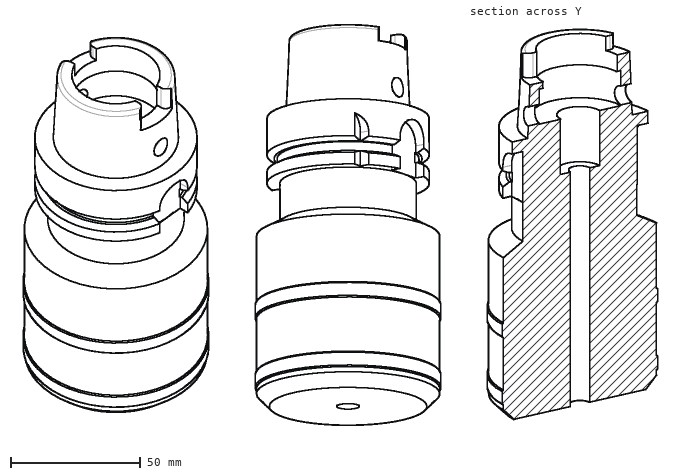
import cadquery as cq
import math

total_height = 147.0
overall_diameter = 72.0

ring_radius = overall_diameter / 2
ring_flank = 0.51
ring_height = 6.2
ring_bottoms_z = (7.0, 34.8)

body_radius = ring_radius - ring_flank
bottom_chamfer = 5.0
shoulder_bottom_z = 67.9
shoulder_top_z = 72.9
neck_radius = 26.5

flange_radius = 31.5
flange_bottom_z = 89.0
flange_top_z = 115.0
groove_radius = 27.5
groove_bottom_z = 93.6
groove_top_z = 100.3
groove_flank_height = 1.4
groove_flank_width = 2.8

taper_base_radius = 24.3
taper_top_radius = 22.8
rim_fillet = 1.5

mouth_radius = 17.0
mouth_bottom_z = 134.0
cavity_radius = 18.8
cavity_floor_z = 119.8
coolant_seat_radius = 9.0
coolant_seat_floor_z = 97.0
coolant_hole_radius = 4.4

drive_slot_width = 12.3
left_slot_floor_z = 141.1
right_slot_floor_z = 136.9
drive_slot_corner = 2.8

cross_hole_radius = 3.8
cross_hole_z = 123.9

pocket_radius = 8.0
key_arc_z = 101.9
notch_arc_z = 102.5
key_floor_x = neck_radius
notch_floor_x = 20.3
notch_side_y = 20.1


def cylinder(radius, bottom_z, top_z):
    return cq.Workplane("XY").workplane(offset=bottom_z).circle(radius).extrude(top_z - bottom_z)


def revolved_body():
    """Solid of revolution from the chuck body to the top of the gripper flange."""
    profile = cq.Workplane("XZ").lineTo(body_radius - bottom_chamfer, 0)
    profile = profile.lineTo(body_radius, bottom_chamfer)
    for ring_z in ring_bottoms_z:
        profile = (
            profile.lineTo(body_radius, ring_z)
            .lineTo(ring_radius, ring_z + ring_flank)
            .lineTo(ring_radius, ring_z + ring_height - ring_flank)
            .lineTo(body_radius, ring_z + ring_height)
        )
    flank_radius = flange_radius - groove_flank_width
    profile = (
        profile.lineTo(body_radius, shoulder_bottom_z)
        .lineTo(neck_radius, shoulder_top_z)
        .lineTo(neck_radius, flange_bottom_z)
        .lineTo(flange_radius, flange_bottom_z)
        .lineTo(flange_radius, groove_bottom_z)
        .lineTo(flank_radius, groove_bottom_z + groove_flank_height)
        .lineTo(groove_radius, groove_bottom_z + groove_flank_height)
        .lineTo(groove_radius, groove_top_z - groove_flank_height)
        .lineTo(flank_radius, groove_top_z - groove_flank_height)
        .lineTo(flange_radius, groove_top_z)
        .lineTo(flange_radius, flange_top_z)
        .lineTo(0, flange_top_z)
        .close()
    )
    return profile.revolve(360, (0, 0, 0), (0, 1, 0))


def taper_shank():
    """Taper with a rounded rim."""
    shank = (
        cq.Workplane("XZ")
        .moveTo(0, flange_top_z)
        .lineTo(taper_base_radius, flange_top_z)
        .lineTo(taper_top_radius, total_height)
        .lineTo(0, total_height)
        .close()
        .revolve(360, (0, 0, 0), (0, 1, 0))
    )
    return shank.faces(">Z").edges().fillet(rim_fillet)


def drive_slot(direction, floor_z):
    """Cutter for a rim slot on the +X (1) or -X (-1) side, flared by round outer corners."""
    half_width = drive_slot_width / 2
    corner_y = half_width + drive_slot_corner
    corner_x = math.sqrt((taper_top_radius - drive_slot_corner) ** 2 - corner_y**2)
    side_x = corner_x + drive_slot_corner
    arc_offset = drive_slot_corner * math.sqrt(0.5)
    arc_x = corner_x + arc_offset
    arc_y = corner_y - arc_offset
    return (
        cq.Workplane("XY")
        .workplane(offset=floor_z)
        .moveTo(0, -half_width)
        .lineTo(direction * corner_x, -half_width)
        .threePointArc((direction * arc_x, -arc_y), (direction * side_x, -corner_y))
        .lineTo(direction * taper_base_radius, -corner_y)
        .lineTo(direction * taper_base_radius, corner_y)
        .lineTo(direction * side_x, corner_y)
        .threePointArc((direction * arc_x, arc_y), (direction * corner_x, half_width))
        .lineTo(0, half_width)
        .close()
        .extrude(total_height - floor_z)
    )


def flange_pocket(direction, floor_x, center_y, arc_z):
    """Cutter for a round-topped pocket open at the flange bottom, milled along X."""
    return (
        cq.Workplane("YZ")
        .workplane(offset=direction * floor_x)
        .moveTo(center_y - pocket_radius, flange_bottom_z)
        .lineTo(center_y - pocket_radius, arc_z)
        .threePointArc(
            (center_y, arc_z + pocket_radius),
            (center_y + pocket_radius, arc_z),
        )
        .lineTo(center_y + pocket_radius, flange_bottom_z)
        .close()
        .extrude(direction * (flange_radius - floor_x))
    )


result = revolved_body().union(taper_shank())

result = result.cut(cylinder(mouth_radius, cavity_floor_z, total_height))
result = result.cut(cylinder(cavity_radius, cavity_floor_z, mouth_bottom_z))
result = result.cut(cylinder(coolant_seat_radius, coolant_seat_floor_z, cavity_floor_z))
result = result.cut(cylinder(coolant_hole_radius, 0, coolant_seat_floor_z))

result = result.cut(drive_slot(-1, left_slot_floor_z))
result = result.cut(drive_slot(1, right_slot_floor_z))

cross_hole = (
    cq.Workplane("YZ")
    .center(0, cross_hole_z)
    .circle(cross_hole_radius)
    .extrude(taper_base_radius, both=True)
)
result = result.cut(cross_hole)

result = result.cut(flange_pocket(-1, key_floor_x, 0, key_arc_z))
result = result.cut(flange_pocket(1, key_floor_x, 0, key_arc_z))
result = result.cut(flange_pocket(-1, notch_floor_x, notch_side_y + pocket_radius, notch_arc_z))